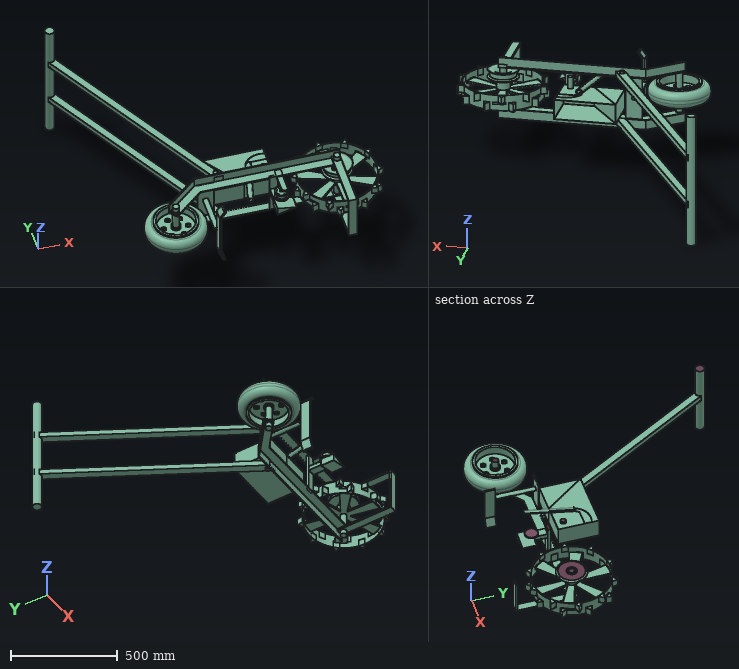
import cadquery as cq
import math


SHEET = 5.0
FLAT_BAR = 10.0
ANGLE_SIZE = 50.0
RAIL_INNER = 102.0
RAIL_OUTER = RAIL_INNER + ANGLE_SIZE
RAIL_TOP = 306.0
RAIL_BOTTOM = RAIL_TOP - ANGLE_SIZE
RAIL_END = 1163.0
BEND_X = 454.0
BEND_ANGLE = 40
FORK_LENGTH = 210.0

AXLE_HALF = 143.0
FRONT_AXLE = (325.0, 162.0)
FRONT_AXLE_D = 33.0
FRONT_AXLE_NECK_D = 16.0
REAR_AXLE = (1144.0, 280.0)
REAR_AXLE_D = 31.0

STAND_WIDTH = 41.0
FRONT_PLATE_X = 471.0
FRONT_PLATE_WIDTH = 80.0
CROSSBAR_X = 810.0
CROSSBAR_WIDTH = 40.0
CROSSBAR_HEIGHT = 15.0

HANDLE_D = 46.0
HANDLE_LENGTH = 647.0
HANDLE_TOP = 1286.0
HANDLE_CENTER = (HANDLE_D / 2, HANDLE_TOP - HANDLE_D / 2)
ARM_ANGLE = 60
ARM_OVERRUN = 13.0
ARM_WIDTH = 40.0
ARM_THICK = 30.0
ARM_PIN_D = 19.0
ARM_PIN = (564.0, 327.0)

TIRE_D = 300.0
TIRE_HALF = 41.0
TIRE_ROUND = 33.0
RIM_D = 214.0
RIM_BORE_D = 188.0
RIM_HALF = 49.0
WEB_HALF = 5.0
WHEEL_HUB_D = 46.0
WHEEL_HUB_HALF = 16.0
WEB_HOLE_D = 25.0
WEB_HOLE_RADIUS = 59.0
WEB_HOLES = 6
WEB_HOLE_START = -4

ROD_X = 510.0
ROD_WIDTH = 27.0
ROD_DEPTH = 16.0
BLADE_BOTTOM = 52.0
BLADE_TOP = 104.0
BLADE_X = 507.0
BLADE_BENDS_Z = (-117.0, 121.0)
BLADE_ENDS_Z = (-163.0, 153.0)
BLADE_LEANS = (19.0, 23.0)

HOPPER_FRONT = 555.0
HOPPER_REAR = 850.0
HOPPER_TOP = 510.0
HOPPER_Z = (-55.0, 45.0)
HOPPER_WALL = 2.0
FLOOR_TOP = 504.0
FLOOR_X = 700.0
SHAFT_D = 27.0
SHAFT_CENTER = (808.0, 345.0)
TUBE_D = 27.0
TUBE_BORE_D = 19.0
TUBE_SINK = 1.0
TUBE_FOOT = (697.0, 187.0)
TUBE_HEAD = (750.0, 420.0)
ELBOW_PAD = 1.0
ELBOW_FOOT_Y = 422.0
ELBOW_OUTER_START = (HOPPER_REAR, 471.0)
ELBOW_OUTER_MID = (783.0, 470.0)
ELBOW_OUTER_END = (737.0, ELBOW_FOOT_Y)
ELBOW_INNER_START = (761.0, ELBOW_FOOT_Y)
ELBOW_INNER_MID = (765.0, 433.0)
ELBOW_INNER_END = (776.0, 437.0)

OPENER_X = 808.0
OPENER_TIP = (902.0, 23.0)
OPENER_Z = (-3.0, 40.0)
OPENER_BOTTOM = 116.0
OPENER_TOP = 187.0
POST_Z = (5.0, 30.0)

IDLER = (845.0, 177.0)
IDLER_D = 65.0
IDLER_GROOVE_D = 46.0
IDLER_SHAFT_D = 19.0
IDLER_Z = (50.0, 90.0)
IDLER_FLANGE = 5.0
STRAP_WIDTH = 31.0
STRAP_X = 860.0
STRAP_BOTTOM_Z = 94.0
STRAP_TOP_Y = 300.0

LUG_WHEEL_R = 195.0
HOOP_THICK = 4.0
HOOP_Z = (-49.0, 29.0)
HOOP_MIDDLE = -8.0
LUG_TIP_R = 219.0
LUG_HALF_ANGLE = 5.2
LUGS_PER_ROW = 10
LOWER_LUG_START = 7
UPPER_LUG_START = -8
SPOKES = 6
SPOKE_START = 36.8
SPOKE_INNER_WIDTH = 27.0
SPOKE_OUTER_WIDTH = 63.0
LUG_HUB_D = 65.0
LUG_HUB_NECK_D = 42.0
PULLEY_D = 150.0
PULLEY_GROOVE_D = 128.0
PULLEY_Z = (49.0, 87.0)
PULLEY_FLANGE = 7.0
BOWL_R = 68.0
BOWL_DEPTH = 33.0
BOWL_ROUND = 46.0


def block(x, y, z):
    """Box between the given (low, high) pairs."""
    size = (x[1] - x[0], y[1] - y[0], z[1] - z[0])
    return cq.Workplane("XY").box(*size, centered=False).translate((x[0], y[0], z[0]))


def rod(center, diameter, z):
    """Cylinder along Z between the two heights."""
    return cq.Workplane("XY", origin=(*center, z[0])).circle(diameter / 2).extrude(z[1] - z[0])


def slab(points, z):
    """Polygon in X and Y extruded between the two heights."""
    return cq.Workplane("XY", origin=(0, 0, z[0])).polyline(points).close().extrude(z[1] - z[0])


def polar(center, radius, degrees):
    angle = math.radians(degrees)
    return (center[0] + radius * math.cos(angle), center[1] + radius * math.sin(angle))


def turned(profile, center):
    """Radius-height profile revolved about a line along Z through the center."""
    body = cq.Workplane("XZ").polyline(profile).close().revolve(360, (0, 0, 0), (0, 1, 0))
    return body.translate((*center, 0))


def both_sides(body):
    """The body together with its mirror image across the mid-plane."""
    return body.union(body.mirror("XY"))


def rail_strip(depth):
    """Bent strip along the top of the rail, of the given depth."""
    slope = math.radians(BEND_ANGLE)
    fork_end = polar((BEND_X, RAIL_TOP), FORK_LENGTH, 180 + BEND_ANGLE)
    inner_end = polar(fork_end, depth, BEND_ANGLE - 90)
    inner_bend = BEND_X + depth * math.tan(slope / 2)
    return [
        (RAIL_END, RAIL_TOP),
        (BEND_X, RAIL_TOP),
        fork_end,
        inner_end,
        (inner_bend, RAIL_TOP - depth),
        (RAIL_END, RAIL_TOP - depth),
    ]


def make_frame():
    plate = slab(rail_strip(ANGLE_SIZE), (RAIL_INNER, RAIL_INNER + SHEET))
    flange = slab(rail_strip(SHEET), (RAIL_INNER, RAIL_OUTER))

    stand_x = (RAIL_END - STAND_WIDTH, RAIL_END)
    arm_inner = RAIL_INNER + SHEET
    arm_outer = arm_inner + FLAT_BAR
    stand_arm = block(stand_x, (0, RAIL_TOP - SHEET), (arm_inner, arm_outer))

    frame = both_sides(plate.union(flange).union(stand_arm))
    frame = frame.union(block(stand_x, (0, FLAT_BAR), (-arm_outer, arm_outer)))

    between_rails = (-RAIL_INNER, RAIL_INNER)
    plate_x = (FRONT_PLATE_X, FRONT_PLATE_X + FRONT_PLATE_WIDTH)
    frame = frame.union(block(plate_x, (RAIL_TOP - SHEET, RAIL_TOP), between_rails))
    bar_x = (CROSSBAR_X, CROSSBAR_X + CROSSBAR_WIDTH)
    frame = frame.union(block(bar_x, (RAIL_BOTTOM, RAIL_BOTTOM + CROSSBAR_HEIGHT), between_rails))

    strap_z = (STRAP_BOTTOM_Z, RAIL_INNER)
    strap_x = (STRAP_X - STRAP_WIDTH / 2, STRAP_X + STRAP_WIDTH / 2)
    frame = frame.union(block(strap_x, (IDLER[1], STRAP_TOP_Y), strap_z))
    frame = frame.union(rod((STRAP_X, IDLER[1]), STRAP_WIDTH, strap_z))

    axle_span = (-AXLE_HALF, AXLE_HALF)
    frame = frame.cut(rod(FRONT_AXLE, FRONT_AXLE_D, axle_span))
    return frame.cut(rod(REAR_AXLE, REAR_AXLE_D, axle_span))


def make_handle():
    tube = rod(HANDLE_CENTER, HANDLE_D, (-HANDLE_LENGTH / 2, HANDLE_LENGTH / 2))

    arm_end = polar(HANDLE_CENTER, ARM_OVERRUN, 180 - ARM_ANGLE)
    upper = polar(arm_end, ARM_WIDTH / 2, 90 - ARM_ANGLE)
    lower = polar(arm_end, ARM_WIDTH / 2, 270 - ARM_ANGLE)
    slope = math.tan(math.radians(ARM_ANGLE))
    upper_foot = (upper[0] + (upper[1] - RAIL_TOP) / slope, RAIL_TOP)
    lower_foot = (lower[0] + (lower[1] - RAIL_TOP) / slope, RAIL_TOP)
    arm = slab([upper, lower, lower_foot, upper_foot], (RAIL_INNER, RAIL_INNER + ARM_THICK))

    pin = rod(ARM_PIN, ARM_PIN_D, (RAIL_INNER, AXLE_HALF))
    return tube.union(both_sides(arm.union(pin)))


def make_front_wheel():
    tire_r = TIRE_D / 2
    shoulder_r = tire_r - TIRE_ROUND
    tread_half = TIRE_HALF - TIRE_ROUND
    arc_step = TIRE_ROUND * math.sqrt(0.5)
    arc_mid = (shoulder_r + arc_step, tread_half + arc_step)
    bead_r = RIM_BORE_D / 2
    tire = (
        cq.Workplane("XZ")
        .moveTo(bead_r, -TIRE_HALF)
        .lineTo(shoulder_r, -TIRE_HALF)
        .threePointArc((arc_mid[0], -arc_mid[1]), (tire_r, -tread_half))
        .lineTo(tire_r, tread_half)
        .threePointArc(arc_mid, (shoulder_r, TIRE_HALF))
        .lineTo(bead_r, TIRE_HALF)
        .close()
        .revolve(360, (0, 0, 0), (0, 1, 0))
        .translate((*FRONT_AXLE, 0))
    )
    rim_span = (-RIM_HALF, RIM_HALF)
    rim = rod(FRONT_AXLE, RIM_D, rim_span).cut(rod(FRONT_AXLE, RIM_BORE_D, rim_span))
    web = rod(FRONT_AXLE, RIM_D, (-WEB_HALF, WEB_HALF))
    for i in range(WEB_HOLES):
        place = polar(FRONT_AXLE, WEB_HOLE_RADIUS, WEB_HOLE_START + 360 / WEB_HOLES * i)
        web = web.cut(rod(place, WEB_HOLE_D, (-WEB_HALF, WEB_HALF)))
    hub = rod(FRONT_AXLE, WHEEL_HUB_D, (-WHEEL_HUB_HALF, WHEEL_HUB_HALF))
    plate_face = RAIL_INNER + SHEET
    neck_span = (plate_face, plate_face + FLAT_BAR)
    axle = rod(FRONT_AXLE, FRONT_AXLE_D, (-AXLE_HALF, AXLE_HALF))
    groove = rod(FRONT_AXLE, FRONT_AXLE_D, neck_span).cut(rod(FRONT_AXLE, FRONT_AXLE_NECK_D, neck_span))
    axle = axle.cut(both_sides(groove))
    return tire.union(rim).union(web).union(hub).union(axle)


def make_scraper():
    front_edge = [
        (BLADE_X + BLADE_LEANS[0], BLADE_ENDS_Z[0]),
        (BLADE_X, BLADE_BENDS_Z[0]),
        (BLADE_X, BLADE_BENDS_Z[1]),
        (BLADE_X + BLADE_LEANS[1], BLADE_ENDS_Z[1]),
    ]
    rear_edge = [(x + FLAT_BAR, z) for x, z in reversed(front_edge)]
    blade = (
        cq.Workplane("XZ", origin=(0, BLADE_BOTTOM, 0))
        .polyline(front_edge + rear_edge)
        .close()
        .extrude(BLADE_BOTTOM - BLADE_TOP)
    )
    rod_length = RAIL_TOP - SHEET - BLADE_TOP
    oval_rod = (
        cq.Workplane("XZ", origin=(ROD_X, BLADE_TOP, 0))
        .ellipse(ROD_WIDTH / 2, ROD_DEPTH / 2)
        .extrude(-rod_length)
    )
    return blade.union(oval_rod)


def make_tilted_rod(diameter):
    """Round rod along the seed tube, cut level at the foot and the head."""
    foot_z = HOPPER_Z[1] + TUBE_D / 2 - TUBE_SINK
    axis = cq.Vector(TUBE_HEAD[0] - TUBE_FOOT[0], TUBE_HEAD[1] - TUBE_FOOT[1], 0)
    along = cq.Plane(origin=(*TUBE_FOOT, foot_z), xDir=(0, 0, 1), normal=axis.toTuple())
    overlong = axis.Length + 2 * TUBE_D
    tilted = cq.Workplane(along).workplane(offset=-TUBE_D).circle(diameter / 2).extrude(overlong)
    level_x = (TUBE_FOOT[0] - TUBE_D, TUBE_HEAD[0] + TUBE_D)
    level_z = (foot_z - TUBE_D, foot_z + TUBE_D)
    return tilted.intersect(block(level_x, (TUBE_FOOT[1], TUBE_HEAD[1]), level_z))


def make_hopper():
    bin_box = block((HOPPER_FRONT, HOPPER_REAR), (RAIL_TOP, HOPPER_TOP), HOPPER_Z)
    cavity = slab(
        [
            (HOPPER_FRONT + HOPPER_WALL, HOPPER_TOP),
            (HOPPER_FRONT + HOPPER_WALL, FLOOR_TOP),
            (FLOOR_X, RAIL_TOP + HOPPER_WALL),
            (HOPPER_REAR - HOPPER_WALL, RAIL_TOP + HOPPER_WALL),
            (HOPPER_REAR - HOPPER_WALL, HOPPER_TOP),
        ],
        (HOPPER_Z[0] + HOPPER_WALL, HOPPER_Z[1] - HOPPER_WALL),
    )
    wall_face = HOPPER_Z[1]
    shaft = rod(SHAFT_CENTER, SHAFT_D, (wall_face - HOPPER_WALL, RAIL_INNER))

    elbow = (
        cq.Workplane("XY", origin=(0, 0, wall_face))
        .moveTo(*ELBOW_OUTER_START)
        .threePointArc(ELBOW_OUTER_MID, ELBOW_OUTER_END)
        .lineTo(*ELBOW_INNER_START)
        .threePointArc(ELBOW_INNER_MID, ELBOW_INNER_END)
        .lineTo(HOPPER_REAR, ELBOW_INNER_END[1])
        .close()
        .extrude(ELBOW_PAD)
    )

    seed_tube = make_tilted_rod(TUBE_D)
    bore = make_tilted_rod(TUBE_BORE_D)
    return bin_box.cut(cavity).union(shaft).union(elbow).union(seed_tube).cut(bore)


def make_opener():
    share = (
        cq.Workplane("XZ", origin=(0, OPENER_BOTTOM, 0))
        .polyline([(OPENER_X, OPENER_Z[0]), (OPENER_X, OPENER_Z[1]), OPENER_TIP])
        .close()
        .extrude(OPENER_BOTTOM - OPENER_TOP)
    )
    post_x = (CROSSBAR_X, CROSSBAR_X + CROSSBAR_WIDTH)
    return share.union(block(post_x, (OPENER_TOP, RAIL_BOTTOM), POST_Z))


def make_idler():
    bottom, top = IDLER_Z
    outer = IDLER_D / 2
    groove = IDLER_GROOVE_D / 2
    pulley = turned(
        [
            (0, bottom),
            (outer, bottom),
            (outer, bottom + IDLER_FLANGE),
            (groove, bottom + IDLER_FLANGE),
            (groove, top - IDLER_FLANGE),
            (outer, top - IDLER_FLANGE),
            (outer, top),
            (0, top),
        ],
        IDLER,
    )
    return pulley.union(rod(IDLER, IDLER_SHAFT_D, (top, STRAP_BOTTOM_Z)))


def make_lug(degrees, z):
    root = LUG_WHEEL_R - HOOP_THICK / 2
    return slab(
        [
            polar(REAR_AXLE, root, degrees - LUG_HALF_ANGLE),
            polar(REAR_AXLE, LUG_TIP_R, degrees),
            polar(REAR_AXLE, root, degrees + LUG_HALF_ANGLE),
        ],
        z,
    )


def make_spoke(degrees):
    reach = LUG_WHEEL_R - HOOP_THICK
    spoke = slab(
        [
            (0, -SPOKE_INNER_WIDTH / 2),
            (reach, -SPOKE_OUTER_WIDTH / 2),
            (reach, SPOKE_OUTER_WIDTH / 2),
            (0, SPOKE_INNER_WIDTH / 2),
        ],
        (HOOP_MIDDLE - FLAT_BAR, HOOP_MIDDLE),
    )
    return spoke.rotate((0, 0, 0), (0, 0, 1), degrees).translate((*REAR_AXLE, 0))


def make_drive_pulley():
    bottom, top = PULLEY_Z
    outer = PULLEY_D / 2
    groove = PULLEY_GROOVE_D / 2
    body = turned(
        [
            (0, bottom),
            (outer, bottom),
            (groove, bottom + PULLEY_FLANGE),
            (groove, top - PULLEY_FLANGE),
            (outer, top),
            (0, top),
        ],
        REAR_AXLE,
    )
    floor = top - BOWL_DEPTH
    arc_center = (BOWL_R, top - BOWL_ROUND)
    sweep = math.degrees(math.acos(1 - BOWL_DEPTH / BOWL_ROUND))
    arc_floor = polar(arc_center, BOWL_ROUND, 90 + sweep)
    arc_mid = polar(arc_center, BOWL_ROUND, 90 + sweep / 2)
    bowl = (
        cq.Workplane("XZ")
        .moveTo(0, floor)
        .lineTo(*arc_floor)
        .threePointArc(arc_mid, (BOWL_R, top))
        .lineTo(0, top)
        .close()
        .revolve(360, (0, 0, 0), (0, 1, 0))
        .translate((*REAR_AXLE, 0))
    )
    return body.cut(bowl)


def make_rear_wheel():
    wheel = rod(REAR_AXLE, 2 * LUG_WHEEL_R, HOOP_Z)
    wheel = wheel.cut(rod(REAR_AXLE, 2 * (LUG_WHEEL_R - HOOP_THICK), HOOP_Z))
    for i in range(LUGS_PER_ROW):
        turn = 360 / LUGS_PER_ROW * i
        wheel = wheel.union(make_lug(LOWER_LUG_START + turn, (HOOP_Z[0], HOOP_MIDDLE)))
        wheel = wheel.union(make_lug(UPPER_LUG_START + turn, (HOOP_MIDDLE, HOOP_Z[1])))
    for i in range(SPOKES):
        wheel = wheel.union(make_spoke(SPOKE_START + 360 / SPOKES * i))
    hub = rod(REAR_AXLE, LUG_HUB_D, (HOOP_MIDDLE - FLAT_BAR, HOOP_Z[1]))
    neck = rod(REAR_AXLE, LUG_HUB_NECK_D, (HOOP_Z[1], PULLEY_Z[0]))
    axle = rod(REAR_AXLE, REAR_AXLE_D, (-AXLE_HALF, AXLE_HALF))
    return wheel.union(hub).union(neck).union(make_drive_pulley()).union(axle)


frame = make_frame()
handle = make_handle()
front_wheel = make_front_wheel()
scraper = make_scraper()
hopper = make_hopper()
opener = make_opener()
idler = make_idler()
rear_wheel = make_rear_wheel()

bodies = [frame, handle, front_wheel, scraper, hopper, opener, idler, rear_wheel]
result = cq.Compound.makeCompound([body.val() for body in bodies])